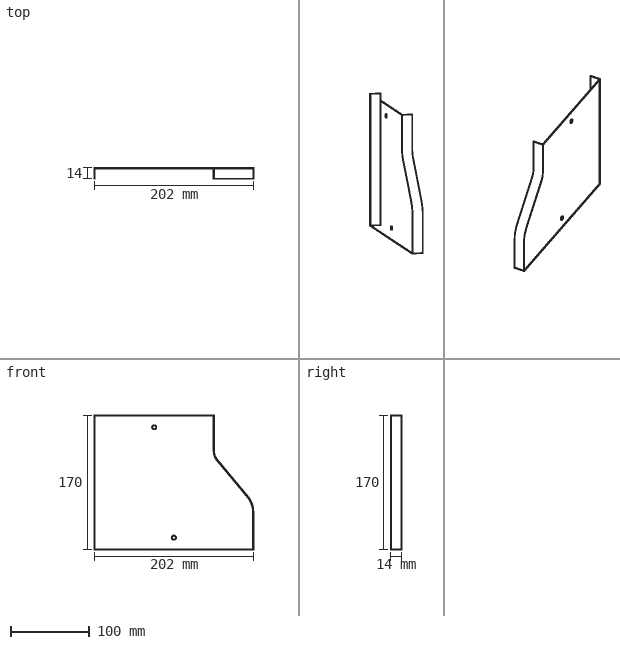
import cadquery as cq
import math

sheet = 0.8
height = 170.0
depth = 14.0
bottom_width = 202.0
top_width = 152.0
slope_bottom = 58.6
slope_height = 60.0
lower_bend_radius = 32.0
upper_bend_radius = 18.0
hole_diameter = 5.0
hole_edge_distance = 15.0

slope_top = slope_bottom + slope_height
slope_angle = math.atan2(bottom_width - top_width, slope_height)


def bend_points(corner_x, corner_z, radius, side):
    """Points of a bend between a wall and the slope: at the wall, halfway, and at the slope.

    The bend centre lies to the left of the wall and below the corner for side -1,
    and to the right of the wall and above the corner for side +1.
    """
    center_x = corner_x + side * radius
    center_z = corner_z + side * radius * math.tan(slope_angle / 2)
    return [
        (center_x - side * radius * math.cos(angle), center_z - side * radius * math.sin(angle))
        for angle in (0, slope_angle / 2, slope_angle)
    ]


def outline(inset):
    """Front outline with its left and right sides moved inwards by inset."""
    left = inset
    right_low = bottom_width - inset
    right_high = top_width - inset
    corner_drop = inset * math.tan(slope_angle / 2)
    low_wall, low_middle, low_slope = bend_points(
        right_low, slope_bottom - corner_drop, lower_bend_radius - inset, -1
    )
    high_wall, high_middle, high_slope = bend_points(
        right_high, slope_top - corner_drop, upper_bend_radius + inset, 1
    )
    return (
        cq.Workplane("XZ")
        .moveTo(left, 0)
        .lineTo(right_low, 0)
        .lineTo(*low_wall)
        .threePointArc(low_middle, low_slope)
        .lineTo(*high_slope)
        .threePointArc(high_middle, high_wall)
        .lineTo(right_high, height)
        .lineTo(left, height)
        .close()
    )


def flanged_plate():
    """Full-depth block, hollowed from the front between the two flanges."""
    block = outline(0).extrude(-depth)
    hollow = outline(sheet).extrude(-(depth - sheet))
    return block.cut(hollow)


def mounting_holes():
    """One hole near each end, centred on the width there."""
    centers = [
        (bottom_width / 2, hole_edge_distance),
        (top_width / 2, height - hole_edge_distance),
    ]
    return cq.Workplane("XZ").pushPoints(centers).circle(hole_diameter / 2).extrude(-depth)


result = flanged_plate().cut(mounting_holes())